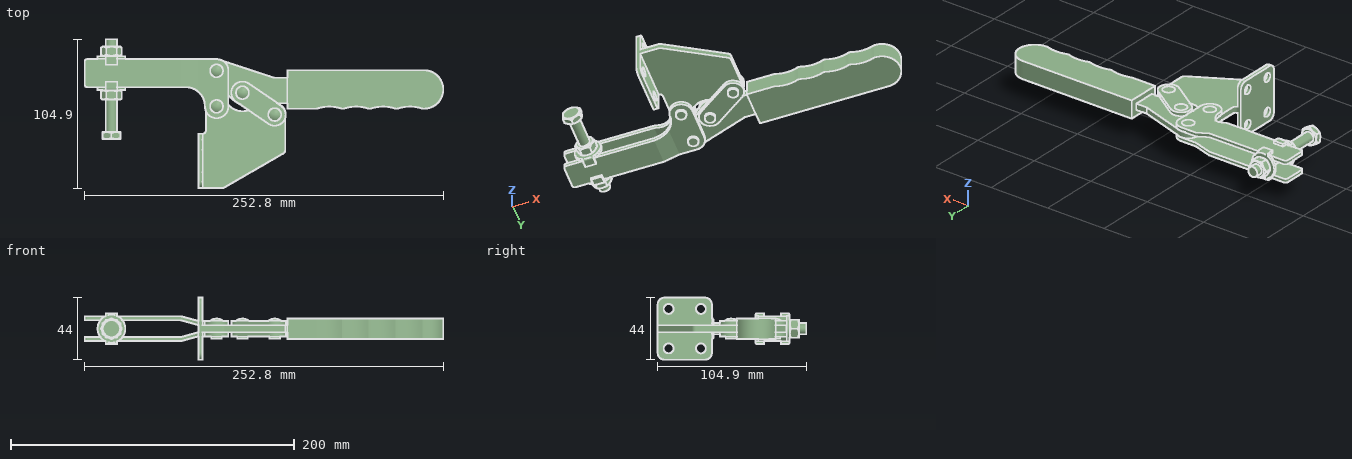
import cadquery as cq
import math


core_half = 2.5
sheet = 3.0
stack_half = core_half + sheet

base_arm_pivot = (0.0, 0.0)
lever_arm_pivot = (0.0, 25.0)
lever_link_pivot = (18.2, 9.5)
base_link_pivot = (41.0, -5.8)

shank_r = 3.8
rivet_head_r = 4.5
rivet_end = 1.65

arm_width = 20.0
arm_boss_r = 8.3
arm_tip_x = -93.0
arm_tip_fillet = 2.0
arm_elbow_r = 13.1
arm_top = lever_arm_pivot[1] + arm_boss_r
arm_bottom = arm_top - arm_width
jaw_inner = 5.8
jaw_outer = jaw_inner + sheet
bend_start_x = -25.0
bend_end_x = -13.1

base_boss_r = 7.5
foot_x = -13.0
foot_bottom = -57.6
foot_length = 38.5
foot_half_height = 22.0
foot_corner_r = 5.0
foot_hole_d = 6.8
foot_hole_pitch_y = 22.8
foot_hole_pitch_z = 27.8
web_slope_x = 4.8
web_slope_angle = 30.0
web_fillet = 3.0
foot_back = foot_x + sheet
foot_top = foot_bottom + foot_length
foot_mid = foot_bottom + foot_length / 2

link_r = 7.8

lever_boss_r = 8.0
neck_x = 40.5
neck_top = 20.2
neck_bottom = 2.0
grip_start = 49.8
grip_length = 110.0
grip_width = 27.3
grip_bottom = -1.8
grip_half_thick = 7.3
finger_count = 4
finger_start = 70.5
finger_pitch = 19.0
finger_width = 17.7
finger_depth = 1.5

spindle_x = -74.0
spindle_r = 4.0
spindle_top = 47.3
head_bottom = -23.3
head_height = 5.3
head_turn = 30.0
hex_flats = 13.0
hex_chamfer_drop = 1.0
hex_face_r = 6.0
nut_height = 6.8
nut_turn = 0.0
washer_r = 9.9
washer_thick = 2.0
tab_width = 8.0
tab_length = 6.0
tab_bend_r = 1.3


def extrude_between(outline, z_low, z_high):
    """Extrude a closed XY wire between two Z levels."""
    return outline.extrude(z_high - z_low).translate((0, 0, z_low))


def disc(center, radius, z_low, z_high):
    wire = cq.Workplane("XY").center(*center).circle(radius)
    return extrude_between(wire, z_low, z_high)


def both_sides(body):
    """The body together with its mirror image across Z = 0."""
    return body.union(body.mirror("XY"))


def strap(start, end, radius, z_low, z_high):
    """Flat bar with a round end about each of two pivots."""
    dx = end[0] - start[0]
    dy = end[1] - start[1]
    length = math.hypot(dx, dy)
    middle = ((start[0] + end[0]) / 2, (start[1] + end[1]) / 2)
    wire = cq.Workplane("XY").slot2D(length + 2 * radius, 2 * radius, math.degrees(math.atan2(dy, dx)))
    return extrude_between(wire, z_low, z_high).translate((middle[0], middle[1], 0))


def rivet(center):
    """Shank through the whole stack with a domed head on +Z and a flat tail on -Z."""
    profile = (
        cq.Workplane("XZ")
        .moveTo(0, -stack_half - rivet_end)
        .lineTo(shank_r, -stack_half - rivet_end)
        .lineTo(shank_r, stack_half)
        .lineTo(rivet_head_r, stack_half)
    )
    dome_r = (rivet_head_r ** 2 + rivet_end ** 2) / (2 * rivet_end)
    half_angle = math.asin(rivet_head_r / dome_r) / 2
    dome_center = stack_half + rivet_end - dome_r
    dome_mid = (dome_r * math.sin(half_angle), dome_center + dome_r * math.cos(half_angle))
    profile = profile.threePointArc(dome_mid, (0, stack_half + rivet_end)).close()
    return profile.revolve(360, (0, 0, 0), (0, 1, 0)).translate((center[0], center[1], 0))


def make_base():
    """Two back-to-back angle plates: a pivot web and a drilled foot."""
    pivot_gap = math.hypot(*lever_link_pivot)
    relief_r = pivot_gap - base_boss_r
    boss_share = base_boss_r / pivot_gap
    relief_start = (lever_link_pivot[0] * boss_share, lever_link_pivot[1] * boss_share)
    relief_floor = (lever_link_pivot[0], lever_link_pivot[1] - relief_r)
    shelf_y = base_link_pivot[1] + base_boss_r
    shelf_x = lever_link_pivot[0] + math.sqrt(relief_r ** 2 - (lever_link_pivot[1] - shelf_y) ** 2)
    web_right = base_link_pivot[0] + base_boss_r
    slope_rise = (web_right - web_slope_x) * math.tan(math.radians(web_slope_angle))
    neck_fillet = -base_boss_r - foot_back
    diagonal = math.sqrt(0.5)

    outline = (
        cq.Workplane("XY")
        .moveTo(foot_x, foot_bottom)
        .lineTo(web_slope_x, foot_bottom)
        .lineTo(web_right, foot_bottom + slope_rise)
        .lineTo(web_right, base_link_pivot[1])
        .threePointArc(
            (base_link_pivot[0] + base_boss_r * diagonal, base_link_pivot[1] + base_boss_r * diagonal),
            (base_link_pivot[0], shelf_y),
        )
        .lineTo(shelf_x, shelf_y)
        .threePointArc(relief_floor, relief_start)
        .threePointArc((-base_boss_r * diagonal, base_boss_r * diagonal), (-base_boss_r, 0))
        .lineTo(-base_boss_r, foot_top + neck_fillet)
        .threePointArc(
            (foot_back + neck_fillet * diagonal, foot_top + neck_fillet * (1 - diagonal)),
            (foot_back, foot_top),
        )
        .lineTo(foot_x, foot_top)
        .close()
    )
    web = extrude_between(outline, 0, core_half)
    for corner in ((web_slope_x, foot_bottom), (web_right, foot_bottom + slope_rise)):
        edge = cq.selectors.NearestToPointSelector((corner[0], corner[1], core_half / 2))
        web = web.edges("|Z").edges(edge).fillet(web_fillet)

    foot = (
        cq.Workplane("XY")
        .box(sheet, foot_length, foot_half_height, centered=(False, True, False))
        .edges("|X and >Z").fillet(foot_corner_r)
        .translate((foot_x, foot_mid, 0))
    )
    for side in (-1, 1):
        hole_y = foot_mid + side * foot_hole_pitch_y / 2
        hole = (
            cq.Workplane("YZ", origin=(foot_x, hole_y, foot_hole_pitch_z / 2))
            .circle(foot_hole_d / 2)
            .extrude(sheet)
        )
        foot = foot.cut(hole)

    plate = web.union(foot)
    for pivot in (base_arm_pivot, base_link_pivot):
        plate = plate.cut(disc(pivot, shank_r, 0, core_half))
    return plate.union(plate.mirror("XY"), clean=False)


def make_arm():
    """Two cranked plates joined by their two rivets."""
    elbow_offset = arm_elbow_r * (1 - math.sqrt(0.5))
    boss_diagonal = arm_boss_r * math.sqrt(0.5)
    outline = (
        cq.Workplane("XY")
        .moveTo(arm_tip_x, arm_top)
        .lineTo(0, arm_top)
        .threePointArc((boss_diagonal, lever_arm_pivot[1] + boss_diagonal), (arm_boss_r, lever_arm_pivot[1]))
        .lineTo(arm_boss_r, 0)
        .threePointArc((0, -arm_boss_r), (-arm_boss_r, 0))
        .lineTo(-arm_boss_r, arm_bottom - arm_elbow_r)
        .threePointArc(
            (-arm_boss_r - elbow_offset, arm_bottom - elbow_offset),
            (-arm_boss_r - arm_elbow_r, arm_bottom),
        )
        .lineTo(arm_tip_x, arm_bottom)
        .close()
    )
    blank = extrude_between(outline, 0, jaw_outer).edges("|Z and <X").fillet(arm_tip_fillet)

    crank = (
        cq.Workplane("XZ", origin=(0, arm_top, 0))
        .moveTo(arm_tip_x, jaw_inner)
        .lineTo(bend_start_x, jaw_inner)
        .lineTo(bend_end_x, core_half)
        .lineTo(arm_boss_r, core_half)
        .lineTo(arm_boss_r, stack_half)
        .lineTo(bend_end_x, stack_half)
        .lineTo(bend_start_x, jaw_outer)
        .lineTo(arm_tip_x, jaw_outer)
        .close()
        .extrude(arm_top + arm_boss_r)
    )
    arm = both_sides(blank.intersect(crank))
    for pivot in (base_arm_pivot, lever_arm_pivot):
        arm = arm.union(rivet(pivot))
    return arm


def make_link():
    """Two straps joined by their two rivets."""
    link = both_sides(strap(lever_link_pivot, base_link_pivot, link_r, core_half, stack_half))
    for pivot in (lever_link_pivot, base_link_pivot):
        link = link.union(rivet(pivot))
    return link


def make_grip():
    """Round-ended grip with shallow finger scallops along its lower side."""
    end_r = grip_width / 2
    grip_end = grip_start + grip_length
    grip_top = grip_bottom + grip_width
    outline = (
        cq.Workplane("XY")
        .moveTo(grip_start, grip_bottom)
        .lineTo(grip_end - end_r, grip_bottom)
        .threePointArc((grip_end, grip_bottom + end_r), (grip_end - end_r, grip_top))
        .lineTo(grip_start, grip_top)
        .close()
    )
    grip = extrude_between(outline, -grip_half_thick, grip_half_thick)
    scallop_r = ((finger_width / 2) ** 2 + finger_depth ** 2) / (2 * finger_depth)
    for index in range(finger_count):
        scallop_x = finger_start + finger_width / 2 + index * finger_pitch
        scallop_y = grip_bottom + finger_depth - scallop_r
        grip = grip.cut(disc((scallop_x, scallop_y), scallop_r, -grip_half_thick, grip_half_thick))
    return grip


def make_handle():
    """Lever plate with two pivot bosses, carrying the grip."""
    neck_dx = neck_x - lever_arm_pivot[0]
    neck_dy = neck_top - lever_arm_pivot[1]
    tangent_angle = math.atan2(neck_dy, neck_dx) + math.acos(lever_boss_r / math.hypot(neck_dx, neck_dy))
    tangent_point = (
        lever_arm_pivot[0] + lever_boss_r * math.cos(tangent_angle),
        lever_arm_pivot[1] + lever_boss_r * math.sin(tangent_angle),
    )
    outline = cq.Workplane("XY").polyline([
        lever_arm_pivot,
        tangent_point,
        (neck_x, neck_top),
        (grip_start, neck_top),
        (grip_start, neck_bottom),
        (lever_link_pivot[0], neck_bottom),
        lever_link_pivot,
    ]).close()
    lever = extrude_between(outline, -core_half, core_half)
    lever = lever.union(strap(lever_arm_pivot, lever_link_pivot, lever_boss_r, -core_half, core_half))
    for pivot in (lever_arm_pivot, lever_link_pivot):
        lever = lever.cut(disc(pivot, shank_r, -core_half, core_half))
    return lever.union(make_grip())


def spindle_disc(radius, y_low, y_high):
    """Cylinder on the spindle axis between two Y levels."""
    return cq.Workplane("XZ", origin=(spindle_x, y_low, 0)).circle(radius).extrude(y_low - y_high)


def hex_block(y_low, height, corner_angle):
    """Hexagon on the spindle axis with chamfered corners; corner_angle turns the corners from X."""
    corner_r = hex_flats / math.sqrt(3)
    block = (
        cq.Workplane("XZ")
        .transformed(rotate=(0, 0, corner_angle))
        .polygon(6, 2 * corner_r)
        .extrude(-height)
    )
    chamfer_body = (
        cq.Workplane("XY")
        .polyline([
            (0, 0),
            (hex_face_r, 0),
            (corner_r, hex_chamfer_drop),
            (corner_r, height - hex_chamfer_drop),
            (hex_face_r, height),
            (0, height),
        ])
        .close()
        .revolve(360, (0, 0, 0), (0, 1, 0))
    )
    return block.intersect(chamfer_body).translate((spindle_x, y_low, 0))


def make_washer():
    """Washer on the upper arm edge with a tab folded over each arm plate."""
    washer_face = arm_top + washer_thick
    washer = spindle_disc(washer_r, arm_top, washer_face)
    tab_outer = jaw_outer + washer_thick
    strip = (
        cq.Workplane("XY")
        .box(tab_width, tab_length, 2 * tab_outer, centered=(True, False, True))
        .edges("|X and >Y").fillet(tab_bend_r)
        .translate((spindle_x, washer_face - tab_length, 0))
    )
    jaw_space = (
        cq.Workplane("XY")
        .box(tab_width, tab_length, 2 * jaw_outer, centered=(True, False, True))
        .translate((spindle_x, arm_top - tab_length, 0))
    )
    return washer.union(strip.cut(jaw_space))


def make_spindle():
    """Hex-head spindle with a nut and a tabbed washer against each arm edge."""
    arm_middle = (arm_top + arm_bottom) / 2
    upper_nut = hex_block(arm_top + washer_thick, nut_height, nut_turn)
    spindle = spindle_disc(spindle_r, head_bottom + head_height / 2, spindle_top)
    spindle = spindle.union(hex_block(head_bottom, head_height, head_turn))
    for clamp_part in (make_washer(), upper_nut):
        spindle = spindle.union(clamp_part)
        spindle = spindle.union(clamp_part.mirror("XZ", (0, arm_middle, 0)))
    return spindle


base = make_base()
arm = make_arm()
link = make_link()
handle = make_handle()
spindle = make_spindle()

bodies = (base, arm, link, handle, spindle)
result = cq.Compound.makeCompound([body.solids().val() for body in bodies])